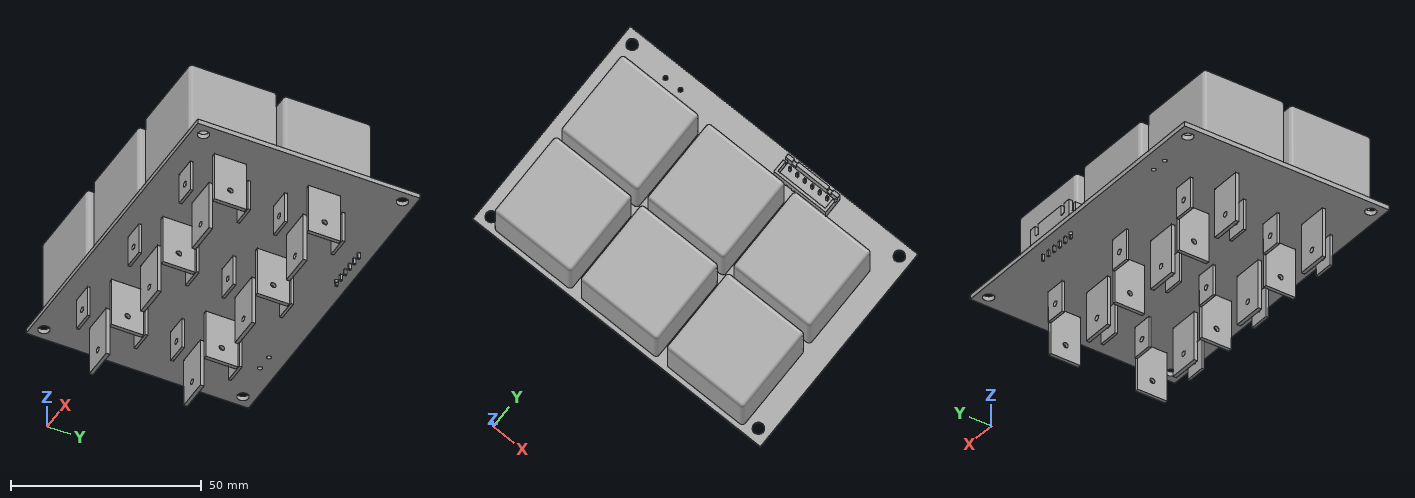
import cadquery as cq

board_length = 97.0
board_width = 66.0
board_thickness = 1.5
mount_hole_diameter = 3.2
mount_hole_inset = 3.5
wire_hole_diameter = 1.3
wire_hole_x = (-32.6, -27.5)
wire_hole_y = 28.0

case_side = 26.0
case_height = 25.0
case_fillet = 1.1
relay_column_pitch = 29.0
relay_row_pitch = 27.9
relay_array_x = -0.5
relay_array_y = -4.7
relay_places = [
    (relay_array_x + column * relay_column_pitch, relay_array_y + row * relay_row_pitch)
    for row in (-0.5, 0.5)
    for column in (-1, 0, 1)
]

overall_height = 41.9
power_blade_length = overall_height - case_height - board_thickness
power_blade_width = 9.5
power_blade_thickness = 1.1
front_blade_x = -4.85
side_blade_x = 10.5
coil_blade_length = 9.7
coil_blade_width = 6.3
coil_blade_thickness = 0.8
coil_blade_x = 2.2
coil_blade_y = 8.5
blade_hole_diameter = 1.6
power_hole_tip_distance = 4.7
coil_hole_tip_distance = 4.2

housing_length = 17.5
housing_width = 6.0
housing_height = 7.0
housing_x = 14.7
housing_y = 28.4
side_wall = 0.8
back_wall = 1.1
housing_floor = 1.5
side_slot_width = 1.0
side_slot_depth = 3.2
notch_width = 1.4
notch_fillet = 0.7
notch_inner_offset = 5.2
notch_depth = side_slot_depth
recess_width = 1.8
recess_height = 1.0
recess_depth = 0.5
recess_taper = 45

pin_count = 6
pin_row_span = 12.5
pin_pitch = pin_row_span / (pin_count - 1)
pin_side = 0.64
pin_tip_chamfer = 0.24
pin_y = 29.1
pin_top = 5.5
pin_length_below_board = 2.0
collar_diameter = 0.95
collar_length_below_board = 0.9
pin_places = [housing_x + (i - (pin_count - 1) / 2) * pin_pitch for i in range(pin_count)]


def block(x_size, y_size, z_bottom, z_top, x=0.0, y=0.0):
    """Upright block centred on (x, y) between two heights."""
    return cq.Workplane("XY", origin=(x, y, z_bottom)).rect(x_size, y_size).extrude(z_top - z_bottom)


def blade(width, thickness, length, hole_tip_distance):
    """Flat terminal across X that hangs from Z = 0 through the board, with a hole near its tip."""
    tip_z = -board_thickness - length
    hole = (
        cq.Workplane("XZ", origin=(0, thickness, tip_z + hole_tip_distance))
        .circle(blade_hole_diameter / 2)
        .extrude(2 * thickness)
    )
    return block(width, thickness, tip_z, 0).cut(hole)


def make_relay(x, y):
    """Rounded case with two power blades at right angles and a pair of coil blades."""
    relay = block(case_side, case_side, 0, case_height).edges("|Z or >Z").fillet(case_fillet)
    power_blade = blade(power_blade_width, power_blade_thickness, power_blade_length, power_hole_tip_distance)
    coil_blade = blade(coil_blade_width, coil_blade_thickness, coil_blade_length, coil_hole_tip_distance)
    side_blade = power_blade.rotate((0, 0, 0), (0, 0, 1), 90)
    relay = relay.union(power_blade.translate((front_blade_x, 0, 0)))
    relay = relay.union(side_blade.translate((side_blade_x, 0, 0)))
    for side in (-1, 1):
        relay = relay.union(coil_blade.translate((coil_blade_x, side * coil_blade_y, 0)))
    return relay.translate((x, y, 0))


def make_housing():
    """Connector shroud with slotted side walls, a notched back wall and bevelled front recesses."""
    back_y = housing_y + housing_width / 2
    front_y = housing_y - housing_width / 2
    cavity_back_y = back_y - back_wall
    cavity_front_y = front_y + side_wall
    housing = block(housing_length, housing_width, 0, housing_height, housing_x, housing_y)
    cavity = block(
        housing_length - 2 * side_wall,
        cavity_back_y - cavity_front_y,
        housing_floor,
        housing_height,
        housing_x,
        (cavity_back_y + cavity_front_y) / 2,
    )
    side_slot = block(
        housing_length,
        side_slot_width,
        housing_height - side_slot_depth,
        housing_height,
        housing_x,
        cavity_back_y - side_slot_width / 2,
    )
    housing = housing.cut(cavity).cut(side_slot)

    for side in (-1, 1):
        inner_x = housing_x + side * notch_inner_offset
        outer_x = inner_x + side * notch_width
        notch = block(
            notch_width,
            back_wall,
            housing_height - notch_depth,
            housing_height,
            (inner_x + outer_x) / 2,
            back_y - back_wall / 2,
        )
        outer_edge = ">X" if side > 0 else "<X"
        housing = housing.cut(notch.faces(outer_edge).edges("<Z").fillet(notch_fillet))

    recesses = (
        cq.Workplane("XZ", origin=(0, front_y, 0))
        .pushPoints([(x, 0) for x in pin_places])
        .rect(recess_width, 2 * recess_height)
        .extrude(-recess_depth, taper=recess_taper)
    )
    return housing.cut(recesses)


def make_connector():
    """Housing and its row of square pins; the first pin has a round collar."""
    connector = make_housing()
    pin_bottom = -board_thickness - pin_length_below_board
    for x in pin_places:
        pin = block(pin_side, pin_side, pin_bottom, pin_top, x, pin_y)
        connector = connector.union(pin.faces("<Z or >Z").chamfer(pin_tip_chamfer))
    collar_height = board_thickness + collar_length_below_board
    collar = (
        cq.Workplane("XY", origin=(pin_places[0], pin_y, -collar_height))
        .circle(collar_diameter / 2)
        .extrude(collar_height)
    )
    return connector.union(collar)


def make_board(mounted_bodies):
    """Plate with mounting and wire holes, and openings that fit the terminals of the mounted bodies."""
    mount_spacing_x = board_length - 2 * mount_hole_inset
    mount_spacing_y = board_width - 2 * mount_hole_inset
    board = (
        block(board_length, board_width, -board_thickness, 0)
        .faces(">Z")
        .workplane(origin=(0, 0, 0))
        .rect(mount_spacing_x, mount_spacing_y, forConstruction=True)
        .vertices()
        .hole(mount_hole_diameter)
        .faces(">Z")
        .workplane(origin=(0, 0, 0))
        .pushPoints([(x, wire_hole_y) for x in wire_hole_x])
        .hole(wire_hole_diameter)
    )
    for body in mounted_bodies:
        board = board.cut(body)
    return board


relays = [make_relay(x, y) for x, y in relay_places]
connector = make_connector()
board = make_board([*relays, connector])

result = cq.Compound.makeCompound([board.val(), *[relay.val() for relay in relays], connector.val()])